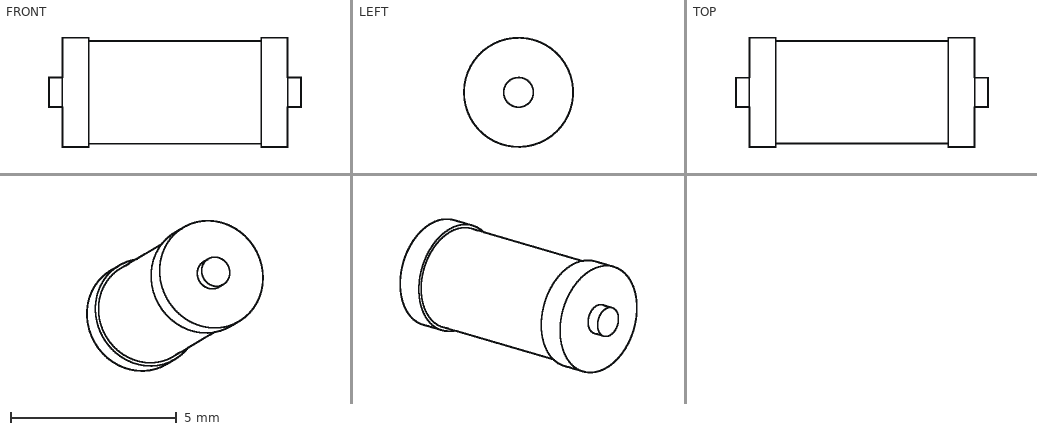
import cadquery as cq

overall_length = 7.6
pin_length = 0.4
pin_diameter = 0.9
cap_length = 0.8
cap_diameter = 3.3
barrel_diameter = 3.1

barrel_length = overall_length - 2 * (pin_length + cap_length)

cap_start = barrel_length / 2
pin_start = cap_start + cap_length


def make_cylinder(start_x, length, diameter):
    """Cylinder on the X axis; a negative length extends toward -X."""
    return cq.Workplane("YZ", origin=(start_x, 0, 0)).circle(diameter / 2).extrude(length)


def make_barrel():
    """Plain barrel centred on the origin."""
    return make_cylinder(-barrel_length / 2, barrel_length, barrel_diameter)


def make_cap(side):
    """End cap seated flat against the barrel; side is -1 or +1 along X."""
    return make_cylinder(side * cap_start, side * cap_length, cap_diameter)


def make_pin(side):
    """Short contact pin standing on the outer face of a cap."""
    return make_cylinder(side * pin_start, side * pin_length, pin_diameter)


barrel = make_barrel()
caps = []
pins = []
for side in (-1, 1):
    caps.append(make_cap(side).val())
    pins.append(make_pin(side).val())

result = cq.Compound.makeCompound([barrel.val(), *caps, *pins])